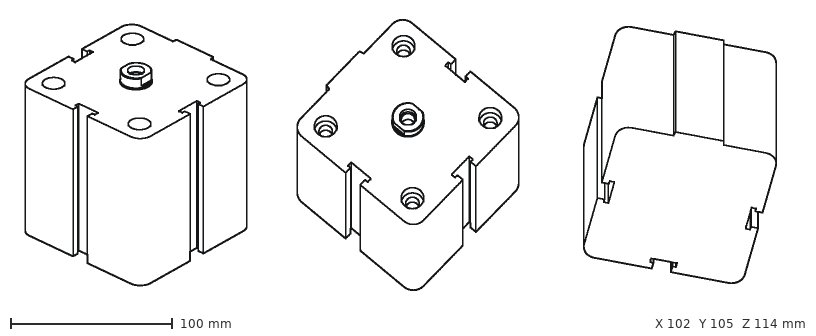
import cadquery as cq

housing_side = 102.0
housing_height = 106.0
total_height = 114.0
corner_radius = 8.5

rail_height = 3.0
rail_base_width = 31.8
rail_top_width = 30.7

slot_mouth_width = 12.1
slot_head_width = 16.4
slot_depth = 7.5
slot_lip = 4.6

corner_hole_pitch = 72.0
counterbore_diameter = 14.0
counterbore_depth = 8.5
corner_hole_diameter = 8.3
corner_hole_depth = 16.5

rod_diameter = 19.5
rod_embedded_length = 16.5
rod_foot_diameter = 20.0
rod_foot_rim_height = 0.5
rod_foot_height = 1.0

rod_top_diameter = 18.6
rod_chamfer_height = 0.5
rod_flat_width = 17.1
rod_flat_height = 5.7

rod_bore_diameter = 8.3
rod_bore_mouth_diameter = 10.5
rod_bore_mouth_depth = 4.2
rod_bore_depth = 13.7

rod_bottom_z = housing_height - rod_embedded_length


def make_slot_cutter(angle):
    """T-slot through the full height, open at the -Y side and turned about Z by angle."""
    outer_y = -housing_side / 2
    neck_y = outer_y + slot_lip
    floor_y = outer_y + slot_depth
    cutter = (
        cq.Workplane("XY")
        .moveTo(0, outer_y)
        .lineTo(slot_mouth_width / 2, outer_y)
        .lineTo(slot_mouth_width / 2, neck_y)
        .lineTo(slot_head_width / 2, neck_y)
        .lineTo(slot_head_width / 2, floor_y)
        .lineTo(0, floor_y)
        .mirrorY()
        .extrude(housing_height)
    )
    return cutter.rotate((0, 0, 0), (0, 0, 1), angle)


def make_rail():
    base_y = housing_side / 2
    top_y = base_y + rail_height
    return (
        cq.Workplane("XY")
        .polyline(
            [
                (-rail_base_width / 2, base_y),
                (-rail_top_width / 2, top_y),
                (rail_top_width / 2, top_y),
                (rail_base_width / 2, base_y),
            ]
        )
        .close()
        .extrude(housing_height)
    )


def make_housing():
    body = (
        cq.Workplane("XY")
        .box(housing_side, housing_side, housing_height, centered=(True, True, False))
        .edges("|Z")
        .fillet(corner_radius)
        .union(make_rail())
    )
    for angle in (0, 90, -90):
        body = body.cut(make_slot_cutter(angle))
    body = (
        body.faces(">Z")
        .workplane(origin=(0, 0, housing_height))
        .rect(corner_hole_pitch, corner_hole_pitch, forConstruction=True)
        .vertices()
        .cboreHole(corner_hole_diameter, counterbore_diameter, counterbore_depth, corner_hole_depth)
    )
    return body.faces(">Z").workplane(origin=(0, 0, housing_height)).hole(rod_diameter, rod_embedded_length)


def make_rod():
    rod_radius = rod_diameter / 2
    foot_radius = rod_foot_diameter / 2
    rod = (
        cq.Workplane("XZ")
        .polyline(
            [
                (0, rod_bottom_z),
                (rod_radius, rod_bottom_z),
                (rod_radius, housing_height),
                (foot_radius, housing_height),
                (foot_radius, housing_height + rod_foot_rim_height),
                (rod_radius, housing_height + rod_foot_height),
                (rod_radius, total_height - rod_chamfer_height),
                (rod_top_diameter / 2, total_height),
                (0, total_height),
            ]
        )
        .close()
        .revolve()
    )
    blank_side = 2 * rod_diameter
    flats = (
        cq.Workplane("XY", origin=(0, 0, total_height - rod_flat_height))
        .rect(blank_side, blank_side)
        .rect(rod_flat_width, rod_diameter + rod_flat_width)
        .extrude(rod_flat_height)
    )
    return (
        rod.cut(flats)
        .faces(">Z")
        .workplane(origin=(0, 0, total_height))
        .cboreHole(rod_bore_diameter, rod_bore_mouth_diameter, rod_bore_mouth_depth, rod_bore_depth)
    )


housing = make_housing()
rod = make_rod()

result = cq.Compound.makeCompound([housing.val(), rod.val()])